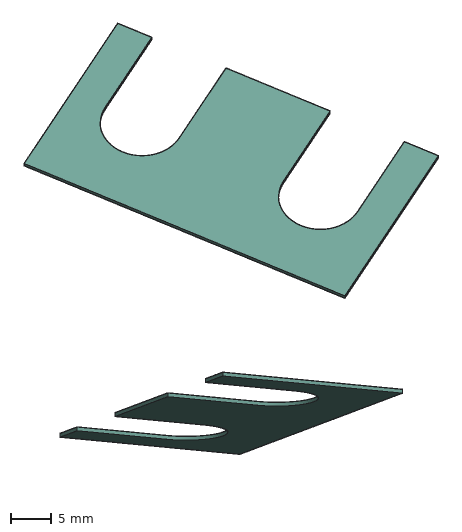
import cadquery as cq

length = 45.0
depth = 25.0
thickness = 0.5

slot_width = 10.4
slot_spacing = 25.0
slot_radius = slot_width / 2
round_center_y = 0.0


def open_slot(center_x):
    """Cutter for one slot running from its round end out to the +Y edge."""
    left = center_x - slot_radius
    right = center_x + slot_radius
    return (
        cq.Workplane("XY")
        .moveTo(left, depth / 2)
        .lineTo(left, round_center_y)
        .threePointArc((center_x, round_center_y - slot_radius), (right, round_center_y))
        .lineTo(right, depth / 2)
        .close()
        .extrude(thickness)
    )


result = cq.Workplane("XY").rect(length, depth).extrude(thickness)
for side in (-1, 1):
    result = result.cut(open_slot(side * slot_spacing / 2))